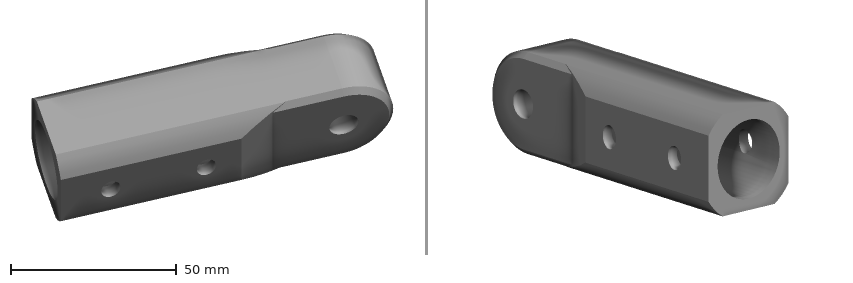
import cadquery as cq

length = 106.0
side = 32.0
half_side = side / 2

corner_radius = 19.1
bore_diameter = 24.8
shoulder_y = 56.7
bore_depth = shoulder_y

tongue_width = 24.0
tongue_half = tongue_width / 2
tongue_start_y = 67.6
tongue_chamfer = 1.8
pivot_y = length - half_side
pivot_diameter = 9.1

oval_length_y = 6.0
oval_height_z = 7.5
oval_positions_y = (15.7, 45.7)


def make_body():
    """Socket body, with both sides sloping in to the flat top of the tongue."""
    bar = cq.Workplane("XZ").rect(side, side).extrude(-length)
    cylinder = cq.Workplane("XZ").circle(corner_radius).extrude(-length)
    tip_half = tongue_half - tongue_chamfer
    slope = (tongue_start_y - shoulder_y) / (half_side - tongue_half)
    tip_y = tongue_start_y + slope * tongue_chamfer
    taper = (
        cq.Workplane("XY")
        .workplane(offset=-half_side)
        .moveTo(-half_side, 0)
        .lineTo(half_side, 0)
        .lineTo(half_side, shoulder_y)
        .lineTo(tip_half, tip_y)
        .lineTo(-tip_half, tip_y)
        .lineTo(-half_side, shoulder_y)
        .close()
        .extrude(side)
    )
    return bar.intersect(cylinder).intersect(taper)


def make_tongue():
    """Round-ended tongue, chamfered around both side faces."""
    return (
        cq.Workplane("YZ")
        .workplane(offset=-tongue_half)
        .moveTo(shoulder_y, -half_side)
        .lineTo(pivot_y, -half_side)
        .threePointArc((length, 0), (pivot_y, half_side))
        .lineTo(shoulder_y, half_side)
        .close()
        .extrude(tongue_width)
        .faces("<X or >X")
        .edges("not(<Y)")
        .chamfer(tongue_chamfer)
    )


def make_bore():
    """Blind round socket from the open end."""
    return cq.Workplane("XZ").circle(bore_diameter / 2).extrude(-bore_depth)


def make_pivot_hole():
    """Round hole across the tongue, on the centre of its rounded end."""
    return (
        cq.Workplane("YZ")
        .center(pivot_y, 0)
        .circle(pivot_diameter / 2)
        .extrude(half_side, both=True)
    )


def make_oval_holes():
    """Oval holes through both walls of the socket."""
    return (
        cq.Workplane("YZ")
        .pushPoints([(y, 0) for y in oval_positions_y])
        .ellipse(oval_length_y / 2, oval_height_z / 2)
        .extrude(half_side, both=True)
    )


result = make_body().union(make_tongue())
result = result.cut(make_bore()).cut(make_pivot_hole()).cut(make_oval_holes())